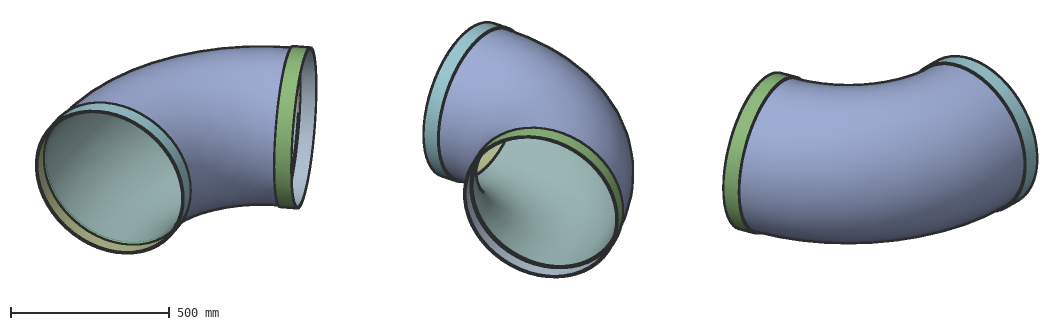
import cadquery as cq
import math

bend_angle = 75.0
bend_radius = 500.0
collar_length = 55.0
wall = 5.0
collar_outer_diameter = 510.0
collar_bore_diameter = collar_outer_diameter - 2 * wall
socket_depth = collar_length - wall
pipe_outer_diameter = collar_bore_diameter
pipe_bore_diameter = pipe_outer_diameter - 2 * wall

turn = math.radians(bend_angle)
outlet_face = (
    bend_radius * (1 - math.cos(turn)) + collar_length * math.sin(turn),
    collar_length + bend_radius * math.sin(turn) + collar_length * math.cos(turn),
    0,
)

inlet_plane = cq.Plane(origin=(0, 0, 0), xDir=(1, 0, 0), normal=(0, 0, 1))
outlet_plane = cq.Plane(
    origin=outlet_face,
    xDir=(-math.cos(turn), math.sin(turn), 0),
    normal=(0, 0, 1),
)


def bend_pipe():
    """Hollow pipe turning through the bend angle."""
    return (
        cq.Workplane("XZ", origin=(0, collar_length, 0))
        .circle(pipe_outer_diameter / 2)
        .circle(pipe_bore_diameter / 2)
        .revolve(bend_angle, (bend_radius, 0, 0), (bend_radius, -1, 0))
    )


def collar(face_plane):
    """Collar ring with a socket whose foot is a rounded shoulder leading into the pipe bore."""
    shoulder_reach = wall * math.sin(math.radians(45))
    shoulder_middle = (collar_bore_diameter / 2 - shoulder_reach, collar_length - shoulder_reach)
    shoulder_top = (collar_bore_diameter / 2, socket_depth)
    return (
        cq.Workplane(face_plane)
        .moveTo(collar_bore_diameter / 2, 0)
        .lineTo(collar_outer_diameter / 2, 0)
        .lineTo(collar_outer_diameter / 2, collar_length)
        .lineTo(pipe_bore_diameter / 2, collar_length)
        .threePointArc(shoulder_middle, shoulder_top)
        .close()
        .revolve(360, (0, 0, 0), (0, 1, 0))
    )


result = bend_pipe().union(collar(inlet_plane)).union(collar(outlet_plane))